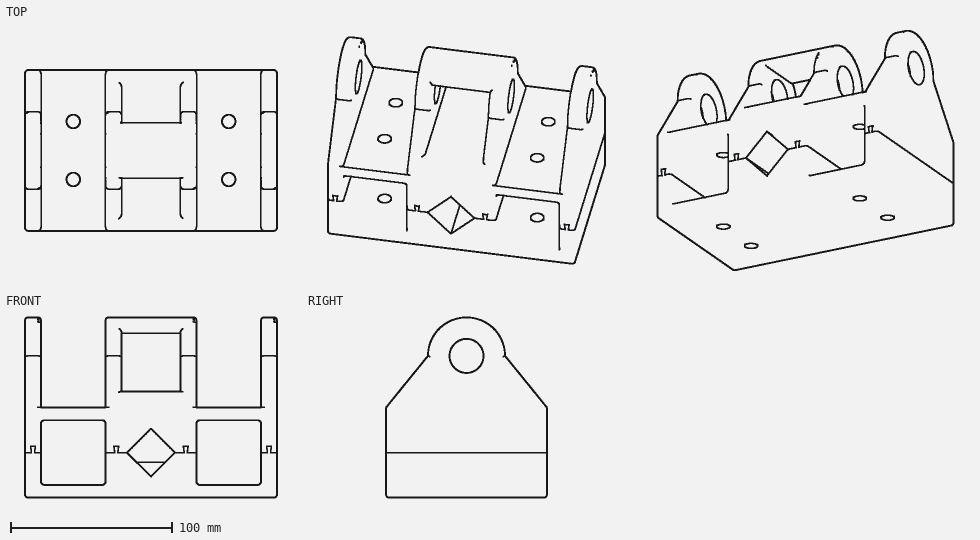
import cadquery as cq
import math

WALL = 10.0
TUBE_SIDE = 40.0
CENTRE_LUG_WIDTH = 56.5
CENTRE_LUG_HALF = CENTRE_LUG_WIDTH / 2
WIDTH = CENTRE_LUG_WIDTH + 2 * (TUBE_SIDE + WALL)
HALF_WIDTH = WIDTH / 2
DEPTH = 100.0
HALF_DEPTH = DEPTH / 2
BLOCK_HEIGHT = 56.0
JOINT_HEIGHT = BLOCK_HEIGHT / 2
EDGE_RADIUS = 2.0

LUG_RADIUS = 24.0
PIVOT_HEIGHT = 88.0
TOP_HEIGHT = PIVOT_HEIGHT + LUG_RADIUS
PIVOT_HOLE_DIAMETER = 21.0
OUTER_WALL_X = HALF_WIDTH - WALL / 2

WINDOW_WIDTH = CENTRE_LUG_WIDTH - 2 * WALL
WINDOW_BOTTOM = BLOCK_HEIGHT + WALL
WINDOW_HEIGHT = TOP_HEIGHT - WALL - WINDOW_BOTTOM

TUBE_CENTRE_X = CENTRE_LUG_HALF + TUBE_SIDE / 2
TUBE_CORNER_RADIUS = 2.0
BOLT_HOLE_DIAMETER = 8.25
BOLT_HOLE_Y = 18.0

BAR_SIDE = 21.0
BAR_HALF_DIAGONAL = BAR_SIDE / math.sqrt(2)
POST_DIAMETER = 16.5
POST_TOP = 22.0

TONGUE_HEIGHT = 4.0
TONGUE_TOP_WIDTH = 3.0
TONGUE_ROOT_WIDTH = 1.9
INNER_WALL_X = (CENTRE_LUG_HALF + BAR_HALF_DIAGONAL) / 2

PICK_MARGIN = 0.5


def box(x_size, z_size, x_centre, z_bottom):
    """Full-depth box that stands on z_bottom."""
    blank = cq.Workplane("XY").box(x_size, DEPTH, z_size, centered=(True, True, False))
    return blank.translate((x_centre, 0, z_bottom))


def upright_cylinder(diameter, height, x, y):
    return cq.Workplane("XY").center(x, y).circle(diameter / 2).extrude(height)


def rounded_slab(width, x_centre):
    """The full side outline swept to a width, with its shoulders, bottom and both side outlines rounded."""
    slab = (
        cq.Workplane("YZ")
        .moveTo(-HALF_DEPTH, 0)
        .lineTo(HALF_DEPTH, 0)
        .lineTo(HALF_DEPTH, BLOCK_HEIGHT)
        .lineTo(LUG_RADIUS, PIVOT_HEIGHT)
        .threePointArc((0, TOP_HEIGHT), (-LUG_RADIUS, PIVOT_HEIGHT))
        .lineTo(-HALF_DEPTH, BLOCK_HEIGHT)
        .close()
        .extrude(width / 2, both=True)
    )
    slab = slab.edges("|X").edges("<Y or >Y").fillet(EDGE_RADIUS)
    slab = slab.faces("<X or >X").edges().fillet(EDGE_RADIUS)
    return slab.translate((x_centre, 0, 0))


def make_lug(width, x_centre):
    """The part of a rounded slab that stands above the block."""
    above_block = box(width, TOP_HEIGHT - BLOCK_HEIGHT, x_centre, BLOCK_HEIGHT)
    return rounded_slab(width, x_centre).intersect(above_block)


def round_rims(body, x_centre, opening_width, z_bottom, z_top, y_inner):
    """Round the front and back rims of an opening that runs through along Y.

    A rim edge has its centre inside the widened opening and farther than y_inner from mid-depth.
    """
    x_reach = opening_width / 2 + PICK_MARGIN
    for end in (-1, 1):
        zone = cq.selectors.BoxSelector(
            (x_centre - x_reach, end * y_inner, z_bottom - PICK_MARGIN),
            (x_centre + x_reach, end * (HALF_DEPTH + PICK_MARGIN), z_top + PICK_MARGIN),
        )
        body = body.edges(zone).fillet(EDGE_RADIUS)
    return body


def cut_tubes(block):
    z_bottom = JOINT_HEIGHT - TUBE_SIDE / 2
    z_top = z_bottom + TUBE_SIDE
    y_inner = HALF_DEPTH - PICK_MARGIN
    for x_centre in (-TUBE_CENTRE_X, TUBE_CENTRE_X):
        tube = box(TUBE_SIDE, TUBE_SIDE, x_centre, z_bottom).edges("|Y").fillet(TUBE_CORNER_RADIUS)
        block = block.cut(tube)
        block = round_rims(block, x_centre, TUBE_SIDE, z_bottom, z_top, y_inner)
    return block


def make_centre_lug():
    lug = make_lug(CENTRE_LUG_WIDTH, 0)
    lug = lug.cut(box(WINDOW_WIDTH, WINDOW_HEIGHT, 0, WINDOW_BOTTOM))
    z_top = WINDOW_BOTTOM + WINDOW_HEIGHT
    y_inner = LUG_RADIUS / 2
    return round_rims(lug, 0, WINDOW_WIDTH, WINDOW_BOTTOM, z_top, y_inner)


def make_bar_passage():
    """The diamond-shaped passage, less the post that stays standing in it."""
    diamond = (
        cq.Workplane("XZ")
        .center(0, JOINT_HEIGHT)
        .polygon(4, 2 * BAR_HALF_DIAGONAL)
        .extrude(HALF_DEPTH, both=True)
    )
    return diamond.cut(upright_cylinder(POST_DIAMETER, POST_TOP, 0, 0))


def make_tongue(x_centre):
    return (
        cq.Workplane("XZ")
        .center(x_centre, JOINT_HEIGHT)
        .moveTo(-TONGUE_ROOT_WIDTH / 2, 0)
        .lineTo(TONGUE_ROOT_WIDTH / 2, 0)
        .lineTo(TONGUE_TOP_WIDTH / 2, TONGUE_HEIGHT)
        .lineTo(-TONGUE_TOP_WIDTH / 2, TONGUE_HEIGHT)
        .close()
        .extrude(HALF_DEPTH, both=True)
    )


def make_assembled_shape():
    """Both bodies together, before they are parted at the joint."""
    shape = rounded_slab(WIDTH, 0).intersect(box(WIDTH, BLOCK_HEIGHT, 0, 0))
    shape = cut_tubes(shape)
    shape = shape.union(make_centre_lug())
    for x_centre in (-OUTER_WALL_X, OUTER_WALL_X):
        shape = shape.union(make_lug(WALL, x_centre))

    pivot_hole = (
        cq.Workplane("YZ")
        .center(0, PIVOT_HEIGHT)
        .circle(PIVOT_HOLE_DIAMETER / 2)
        .extrude(HALF_WIDTH, both=True)
    )
    shape = shape.cut(pivot_hole).cut(make_bar_passage())
    for x in (-TUBE_CENTRE_X, TUBE_CENTRE_X):
        for y in (-BOLT_HOLE_Y, BOLT_HOLE_Y):
            shape = shape.cut(upright_cylinder(BOLT_HOLE_DIAMETER, BLOCK_HEIGHT, x, y))
    return shape


def make_lower_region():
    """The space of the lower body: everything under the joint plane plus the tongues."""
    region = box(WIDTH, JOINT_HEIGHT, 0, 0)
    for x_centre in (-OUTER_WALL_X, -INNER_WALL_X, INNER_WALL_X, OUTER_WALL_X):
        region = region.union(make_tongue(x_centre))
    return region


assembled_shape = make_assembled_shape()
lower_region = make_lower_region()

base = assembled_shape.intersect(lower_region)

bracket = assembled_shape.cut(lower_region)

result = cq.Compound.makeCompound([*base.solids().vals(), *bracket.solids().vals()])